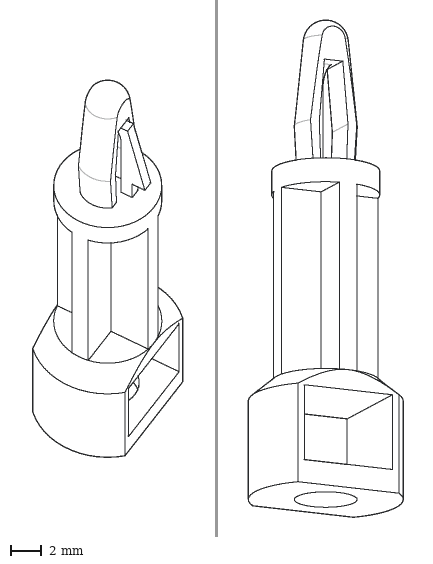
import cadquery as cq
import math

base_diameter = 10.17
base_width = 7.1
base_cylinder_height = 6.67
base_height = 7.97

window_width = 6.35
window_floor = 1.55
window_height = 5.05
floor_hole_diameter = 4.1

column_diameter = base_width
column_web = 1.25
flange_bottom = 20.6
flange_top = 22.23

total_height = 32.4
pin_thickness = 2.45
pin_root_radius = 1.9
pin_swell_radius = 2.07
pin_swell_height = 25.25
dome_radius = 1.5

slot_root_width = 1.85
slot_swell_width = 2.07
slot_top_width = 1.33
slot_top = 29.45

barb_width = 0.75
barb_web_radius = 1.3
barb_bottom = 22.7
barb_catch_height = 24.1
barb_top_reach = 1.75
barb_tip_reach = 3.08
barb_stem_reach = 2.1


def make_base():
    base_radius = base_diameter / 2
    profile = [
        (0, 0),
        (base_radius, 0),
        (base_radius, base_cylinder_height),
        (column_diameter / 2, base_height),
        (0, base_height),
    ]
    body = cq.Workplane("XZ").polyline(profile).close().revolve(360, (0, 0, 0), (0, 1, 0))
    flats = cq.Workplane("XY").rect(base_width, base_diameter).extrude(base_height)
    window = (
        cq.Workplane("XY", origin=(0, 0, window_floor))
        .rect(base_width, window_width)
        .extrude(window_height)
    )
    floor_hole = cq.Workplane("XY").circle(floor_hole_diameter / 2).extrude(window_floor)
    return body.intersect(flats).cut(window).cut(floor_hole)


def make_column():
    height = flange_bottom - base_height
    start = cq.Workplane("XY", origin=(0, 0, base_height))
    web_x = start.rect(column_diameter, column_web).extrude(height)
    web_y = start.rect(column_web, column_diameter).extrude(height)
    envelope = start.circle(column_diameter / 2).extrude(height)
    return web_x.union(web_y).intersect(envelope)


def make_flange():
    start = cq.Workplane("XY", origin=(0, 0, flange_bottom))
    return start.circle(column_diameter / 2).extrude(flange_top - flange_bottom)


def make_pin():
    dome_center = total_height - dome_radius
    rise = dome_center - pin_swell_height
    distance = math.hypot(pin_swell_radius, rise)
    tangent_angle = math.acos(dome_radius / distance) - math.atan2(rise, pin_swell_radius)
    tangent_point = (
        dome_radius * math.cos(tangent_angle),
        dome_center + dome_radius * math.sin(tangent_angle),
    )
    middle_angle = (tangent_angle + math.pi / 2) / 2
    dome_middle = (
        dome_radius * math.cos(middle_angle),
        dome_center + dome_radius * math.sin(middle_angle),
    )
    body = (
        cq.Workplane("XZ")
        .moveTo(0, flange_top)
        .lineTo(pin_root_radius, flange_top)
        .lineTo(pin_swell_radius, pin_swell_height)
        .lineTo(*tangent_point)
        .threePointArc(dome_middle, (0, total_height))
        .close()
        .revolve(360, (0, 0, 0), (0, 1, 0))
    )
    flats = (
        cq.Workplane("XY", origin=(0, 0, flange_top))
        .rect(pin_thickness, 2 * pin_swell_radius)
        .extrude(total_height - flange_top)
    )
    slot = (
        cq.Workplane("YZ")
        .moveTo(-slot_root_width / 2, flange_top)
        .lineTo(slot_root_width / 2, flange_top)
        .lineTo(slot_swell_width / 2, pin_swell_height)
        .lineTo(slot_top_width / 2, slot_top)
        .lineTo(-slot_top_width / 2, slot_top)
        .lineTo(-slot_swell_width / 2, pin_swell_height)
        .close()
        .extrude(pin_thickness / 2, both=True)
    )
    return body.intersect(flats).cut(slot)


def make_barb():
    pin_face = pin_thickness / 2
    arc_offset = barb_web_radius * math.sqrt(0.5)
    web_center = pin_face - barb_web_radius
    web_bottom = slot_top - barb_web_radius
    return (
        cq.Workplane("XZ")
        .moveTo(pin_face, barb_bottom)
        .lineTo(barb_stem_reach, barb_bottom)
        .lineTo(barb_stem_reach, barb_catch_height)
        .lineTo(barb_tip_reach, barb_catch_height)
        .lineTo(barb_top_reach, slot_top)
        .lineTo(web_center, slot_top)
        .threePointArc(
            (web_center + arc_offset, web_bottom + arc_offset),
            (pin_face, web_bottom),
        )
        .close()
        .extrude(barb_width / 2, both=True)
    )


result = make_base().union(make_column()).union(make_flange()).union(make_pin()).union(make_barb())